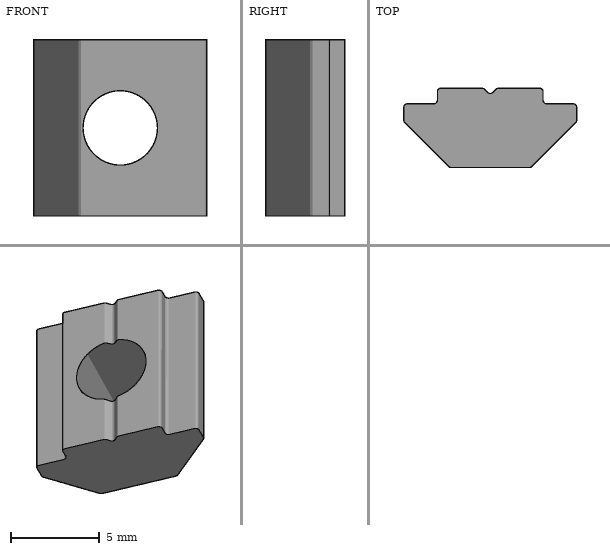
import cadquery as cq

width = 9.8
depth = 4.5
length = 10.0

collar_width = 6.0
collar_height = 0.88
flank_inset = 2.6
edge_radius = 0.2

groove_width = 0.76
groove_depth = groove_width / 2

hole_diameter = 4.2

half_width = width / 2
half_collar = collar_width / 2
half_groove = groove_width / 2
front_y = -depth / 2
back_y = depth / 2
shoulder_y = back_y - collar_height
flank_y = front_y + flank_inset
half_front = half_width - flank_inset

right_half = [
    (half_front, front_y),
    (half_width, flank_y),
    (half_width, shoulder_y),
    (half_collar, shoulder_y),
    (half_collar, back_y),
    (half_groove, back_y),
]
groove_root = (0, back_y - groove_depth)
left_half = [(-x, y) for x, y in reversed(right_half)]
outline = right_half + [groove_root] + left_half
base = cq.Workplane("XY", origin=(0, 0, -length / 2))
body = base.polyline(outline).close().extrude(length)

body = body.edges("|Z").fillet(edge_radius)

hole = cq.Workplane("XZ", origin=(0, back_y, 0)).circle(hole_diameter / 2).extrude(depth)
result = body.cut(hole)